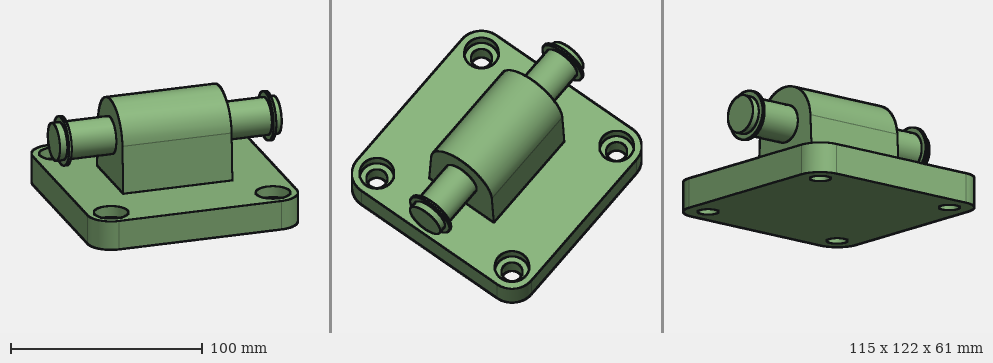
import cadquery as cq
import math

plate_side = 115.0
plate_thickness = 16.0
corner_radius = 12.8
hole_offset = 44.5
hole_diameter = 11.0
counterbore_diameter = 18.0
counterbore_depth = 6.1

total_height = 61.0
block_length = 60.0
block_base_width = 42.6
crown_radius = 20.0
axis_height = total_height - crown_radius

pin_length = 122.0
pin_diameter = 20.0
ring_diameter = 26.0
ring_thickness = 1.5
ring_end_gap = 4.0


def make_plate():
    """Rounded square plate with a counterbored hole in each corner."""
    plate = (
        cq.Workplane("XY")
        .rect(plate_side, plate_side)
        .extrude(plate_thickness)
        .edges("|Z")
        .fillet(corner_radius)
    )
    return (
        plate.faces(">Z")
        .workplane()
        .rect(2 * hole_offset, 2 * hole_offset, forConstruction=True)
        .vertices()
        .cboreHole(hole_diameter, counterbore_diameter, counterbore_depth)
    )


def make_block():
    """Block whose flanks run tangent into the cylindrical crown."""
    half_base = block_base_width / 2
    rise = axis_height - plate_thickness
    corner_angle = math.atan2(-rise, half_base)
    tangent_angle = corner_angle + math.acos(crown_radius / math.hypot(half_base, rise))
    tangent_x = crown_radius * math.cos(tangent_angle)
    tangent_z = axis_height + crown_radius * math.sin(tangent_angle)
    return (
        cq.Workplane("XZ")
        .moveTo(-half_base, plate_thickness)
        .lineTo(half_base, plate_thickness)
        .lineTo(tangent_x, tangent_z)
        .threePointArc((0, total_height), (-tangent_x, tangent_z))
        .close()
        .extrude(block_length / 2, both=True)
    )


def cylinder_along_y(diameter, length, center_y=0):
    """Cylinder on the pin axis, centered at the given Y."""
    return (
        cq.Workplane("XZ", origin=(0, center_y, axis_height))
        .circle(diameter / 2)
        .extrude(length / 2, both=True)
    )


result = make_plate().union(make_block()).union(cylinder_along_y(pin_diameter, pin_length))

ring_center = pin_length / 2 - ring_end_gap - ring_thickness / 2
for side in (-1, 1):
    result = result.union(cylinder_along_y(ring_diameter, ring_thickness, side * ring_center))